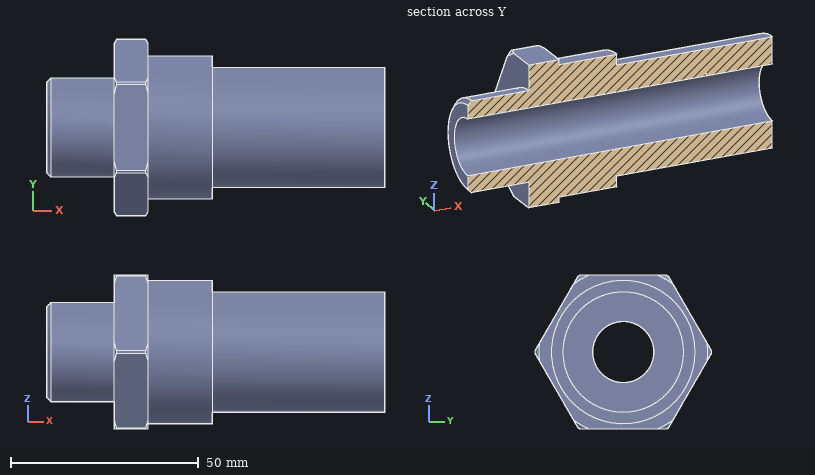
import cadquery as cq
import math

total_length = 90.0
thread_length = 18.0
hex_width = 9.0
collar_length = 17.1
tail_length = total_length - thread_length - hex_width - collar_length

thread_diameter = 26.5
collar_diameter = 38.2
tail_diameter = 32.0
bore_diameter = 16.2

across_flats = 41.0
across_corners = across_flats / math.cos(math.pi / 6)
rounded_corner_diameter = 47.0
thread_chamfer = 1.2
corner_chamfer_height = 1.1
corner_chamfer_depth = corner_chamfer_height * math.tan(math.pi / 6)


def cylinder(start, length, diameter):
    """Round bar along X, starting at the given X position."""
    return cq.Workplane("YZ", origin=(start, 0, 0)).circle(diameter / 2).extrude(length)


def hexagon(start):
    """Hexagon with corners on the Y axis, trimmed by a double-chamfered disc."""
    prism = cq.Workplane("YZ", origin=(start, 0, 0)).polygon(6, across_corners).extrude(hex_width)
    disc = (
        cylinder(start, hex_width, rounded_corner_diameter)
        .faces("<X or >X")
        .chamfer(corner_chamfer_depth, corner_chamfer_height)
    )
    return prism.intersect(disc)


hex_start = thread_length
collar_start = hex_start + hex_width
tail_start = collar_start + collar_length

thread = cylinder(0, thread_length, thread_diameter).faces("<X").chamfer(thread_chamfer)
collar = cylinder(collar_start, collar_length, collar_diameter)
tail = cylinder(tail_start, tail_length, tail_diameter)
bore = cylinder(0, total_length, bore_diameter)

result = thread.union(hexagon(hex_start)).union(collar).union(tail).cut(bore)